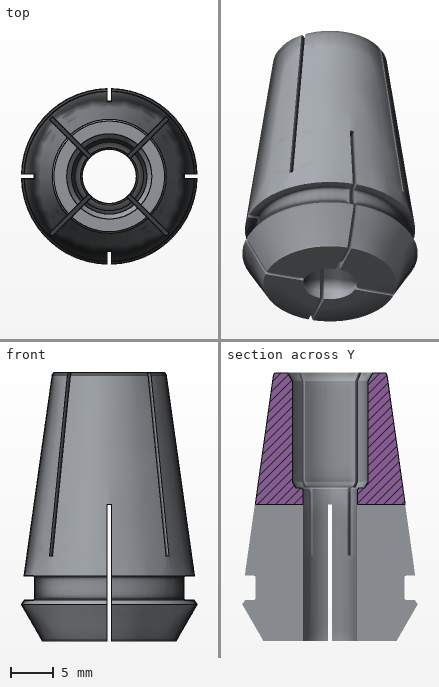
import cadquery as cq
import math

total_height = 31.5
corner_break = 0.2

flange_radius = 10.3
flange_edge_z = 4.3
flange_top_z = 4.8
flange_top_radius = 9.95
nut_cone_angle = 30
bottom_corner_radius = flange_radius - (flange_edge_z - corner_break) * math.tan(math.radians(nut_cone_angle))
bottom_face_radius = bottom_corner_radius - corner_break / 2

groove_radius = 8.75
groove_top_z = 7.65

body_angle = 8
body_base_radius = 10.0
top_break_height = 0.3
top_break_width = 0.2
body_top_z = total_height - top_break_height
body_top_radius = body_base_radius - (body_top_z - groove_top_z) * math.tan(math.radians(body_angle))

bore_radius = 6.35 / 2
bore_floor_z = 18.0
bore_edge_chamfer = 0.2
relief_radius = 4.42
relief_cone_angle = 30
mouth_depth = 1.0
mouth_radius = relief_radius + mouth_depth * math.tan(math.radians(relief_cone_angle))
step_radius = 4.02
step_cone_height = (relief_radius - step_radius) / math.tan(math.radians(relief_cone_angle))

slot_width = 0.5
slots_per_end = 4
slot_spacing = 360 / slots_per_end
lower_slot_top_z = 16.0
upper_slot_floor_z = 10.0
slot_length = 2 * flange_radius + 2.0


def revolve_profile(profile):
    """Turn a closed radius/height profile about the Z axis."""
    return profile.close().revolve(360, (0, 0, 0), (0, 1, 0))


def make_body():
    """Outer shape: nut cone, flange, filleted groove and tapered body."""
    diagonal = corner_break * (1 - math.sqrt(0.5))
    profile = (
        cq.Workplane("XZ")
        .lineTo(bottom_face_radius, 0)
        .lineTo(bottom_corner_radius, corner_break)
        .lineTo(flange_radius, flange_edge_z)
        .lineTo(flange_top_radius, flange_top_z)
        .lineTo(groove_radius + corner_break, flange_top_z)
        .threePointArc(
            (groove_radius + diagonal, flange_top_z + diagonal),
            (groove_radius, flange_top_z + corner_break),
        )
        .lineTo(groove_radius, groove_top_z - corner_break)
        .threePointArc(
            (groove_radius + diagonal, groove_top_z - diagonal),
            (groove_radius + corner_break, groove_top_z),
        )
        .lineTo(body_base_radius, groove_top_z)
        .lineTo(body_top_radius, body_top_z)
        .lineTo(body_top_radius - top_break_width, total_height)
        .lineTo(0, total_height)
    )
    return revolve_profile(profile)


def make_bore():
    """Through bore with a chamfered step into a wider relief and a flared mouth."""
    profile = (
        cq.Workplane("XZ")
        .lineTo(bore_radius, 0)
        .lineTo(bore_radius, bore_floor_z - bore_edge_chamfer)
        .lineTo(bore_radius + bore_edge_chamfer, bore_floor_z)
        .lineTo(step_radius, bore_floor_z)
        .lineTo(relief_radius, bore_floor_z + step_cone_height)
        .lineTo(relief_radius, total_height - mouth_depth)
        .lineTo(mouth_radius, total_height)
        .lineTo(0, total_height)
    )
    return revolve_profile(profile)


def cut_slots(part, bottom_z, top_z, first_angle):
    """Cut evenly spaced radial slots; each cutter makes an opposite pair."""
    for pair in range(slots_per_end // 2):
        cutter = (
            cq.Workplane("XY")
            .box(slot_length, slot_width, top_z - bottom_z, centered=(True, True, False))
            .translate((0, 0, bottom_z))
            .rotate((0, 0, 0), (0, 0, 1), first_angle + pair * slot_spacing)
        )
        part = part.cut(cutter)
    return part


collet = make_body().cut(make_bore())
collet = cut_slots(collet, 0, lower_slot_top_z, 0)
collet = cut_slots(collet, upper_slot_floor_z, total_height, slot_spacing / 2)

result = collet